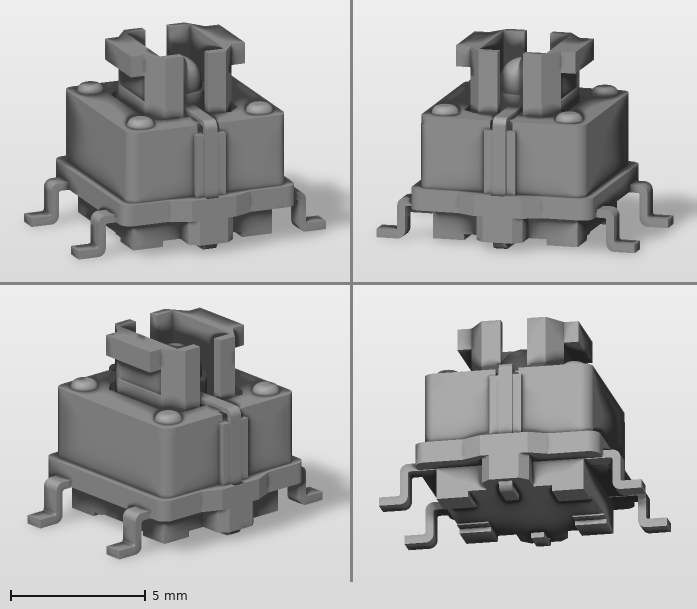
import cadquery as cq

foot_bottom = 0.1
body_bottom = 0.33
plate_bottom = 1.3
plate_top = 2.11
housing_top = 4.85
housing_step = 4.52
pocket_floor = 4.55
collar_bottom, collar_top = 4.65, 5.42
carrier_top = 7.2

plate_x, plate_y, plate_radius = 6.83, 7.04, 0.43
tab_reach = 3.75
tab_half_width = 0.9
flare_half_width = 1.64

body_x, body_y = 5.28, 5.6
tab_chamfer_x, tab_chamfer_y = 0.31, 0.33
foot_inner_x, foot_inner_y = 1.41, 1.6
pad_inner_x, pad_bottom = 0.95, 0.27

housing_size = 6.4
housing_radius = 0.4
index_corner_radius = 0.47
notch_half_width, notch_depth = 0.44, 0.29
rib_reach, rib_half_width = 3.45, 0.6
groove_half_width = 0.27

pocket_half_x, pocket_half_y = 2.09, 1.89
left_cut, right_cut = 0.43, 0.51
front_cut, back_cut = 0.38, 0.52

peg_spacing = 4.8
peg_diameter = 1.02
peg_height, peg_rounding = 0.3, 0.29

collar_diameter, dome_diameter = 2.4, 2.0
dome_centre = 5.62

carrier_half_x = 2.0
carrier_inner_x, carrier_inner_y = 1.64, 1.3
carrier_gap = 0.5
carrier_corner_y = 1.22
carrier_outer_y = 1.76
carrier_face_half = 1.25
ledge_y, ledge_height = 2.31, 0.81
recess_depth, recess_bottom = 0.12, 5.32

strap_half_x, strap_top = 3.48, 5.02
strap_thickness, strap_width = 0.2, 0.5
strap_outer_radius, strap_inner_radius = 0.3, 0.1
strap_hook_end = 2.2
tab_slot_reach = 3.73

lead_x, lead_width = 2.25, 0.73
lead_tip, lead_wall_y = 5.0, 4.2
lead_embed = 0.1
lead_top, lead_thickness, lead_foot_thickness = 1.57, 0.3, 0.33
lead_outer_radius, lead_inner_radius = 0.3, 0.09


def block(x0, x1, y0, y1, z0, z1):
    """Axis-aligned box between two opposite corners."""
    return cq.Workplane("XY").box(x1 - x0, y1 - y0, z1 - z0, centered=False).translate((x0, y0, z0))


def prism(points, z0, z1):
    """Vertical prism on a closed outline in plan."""
    return cq.Workplane("XY").workplane(offset=z0).polyline(points).close().extrude(z1 - z0)


def both_x(shape):
    return shape.union(shape.mirror("YZ"))


def both_y(shape):
    return shape.union(shape.mirror("XZ"))


def make_plate():
    plate = block(-plate_x / 2, plate_x / 2, -plate_y / 2, plate_y / 2, plate_bottom, plate_top)
    plate = plate.edges("|Z").fillet(plate_radius)
    flare = prism(
        [(0, -flare_half_width), (plate_x / 2, -flare_half_width), (tab_reach, -tab_half_width),
         (tab_reach, tab_half_width), (plate_x / 2, flare_half_width), (0, flare_half_width)],
        plate_bottom, plate_top)
    return plate.union(both_x(flare))


def make_lower_body():
    body = block(-body_x / 2, body_x / 2, -body_y / 2, body_y / 2, body_bottom, plate_bottom)
    shoulder_x = tab_reach - tab_chamfer_x
    nose_y = tab_half_width - tab_chamfer_y
    tab = prism(
        [(0, -tab_half_width), (shoulder_x, -tab_half_width), (tab_reach, -nose_y),
         (tab_reach, nose_y), (shoulder_x, tab_half_width), (0, tab_half_width)],
        body_bottom, plate_bottom)
    foot = block(foot_inner_x, body_x / 2, foot_inner_y, body_y / 2, foot_bottom, body_bottom)
    pad = block(pad_inner_x, foot_inner_x, foot_inner_y, body_y / 2, pad_bottom, body_bottom)
    return body.union(both_x(tab)).union(both_y(both_x(foot.union(pad))))


def make_housing():
    half = housing_size / 2
    lower = block(-half, half, -half, half, plate_top, housing_step).edges("|Z").fillet(housing_radius)
    upper = block(-half, half, -half, half, housing_step, housing_top)
    upper = upper.edges("|Z and (not (<X and >Y))").fillet(housing_radius)
    upper = upper.edges("|Z").edges("<X and >Y").fillet(index_corner_radius)

    notch = block(half - notch_depth, half, -notch_half_width, notch_half_width, housing_step, housing_top)
    rib = block(half, rib_reach, groove_half_width, rib_half_width, plate_top, housing_step)
    housing = lower.union(upper).cut(both_x(notch)).union(both_y(both_x(rib)))

    pocket = prism(
        [(-pocket_half_x, -pocket_half_y + front_cut), (-pocket_half_x + left_cut, -pocket_half_y),
         (pocket_half_x - right_cut, -pocket_half_y), (pocket_half_x, -pocket_half_y + front_cut),
         (pocket_half_x, pocket_half_y - back_cut), (pocket_half_x - right_cut, pocket_half_y),
         (-pocket_half_x + left_cut, pocket_half_y), (-pocket_half_x, pocket_half_y - back_cut)],
        pocket_floor, housing_top)
    well = block(-carrier_inner_x, carrier_inner_x, -carrier_inner_y, carrier_inner_y,
                 plate_top, pocket_floor)
    return housing.cut(pocket).cut(well)


def make_pegs():
    return (
        cq.Workplane("XY").workplane(offset=housing_top)
        .rect(peg_spacing, peg_spacing, forConstruction=True).vertices()
        .circle(peg_diameter / 2).extrude(peg_height)
        .faces(">Z").edges().fillet(peg_rounding))


def make_plunger():
    collar = cq.Workplane("XY").workplane(offset=collar_bottom)
    collar = collar.circle(collar_diameter / 2).extrude(collar_top - collar_bottom)
    stem = cq.Workplane("XY").workplane(offset=plate_top)
    stem = stem.circle(dome_diameter / 2).extrude(dome_centre - plate_top)
    dome = cq.Workplane("XY").sphere(dome_diameter / 2).translate((0, 0, dome_centre))
    return collar.union(stem).union(dome)


def make_carrier():
    wall = prism(
        [(-carrier_half_x, carrier_gap), (-carrier_half_x, carrier_corner_y),
         (-carrier_face_half, carrier_outer_y), (carrier_face_half, carrier_outer_y),
         (carrier_half_x, carrier_corner_y), (carrier_half_x, carrier_gap),
         (carrier_inner_x, carrier_gap), (carrier_inner_x, carrier_inner_y),
         (-carrier_inner_x, carrier_inner_y), (-carrier_inner_x, carrier_gap)],
        pocket_floor, carrier_top)
    ledge_bottom = carrier_top - ledge_height
    ledge = block(-carrier_face_half, carrier_face_half, carrier_inner_y, ledge_y, ledge_bottom, carrier_top)
    recess = block(-carrier_face_half, carrier_face_half, carrier_outer_y - recess_depth, carrier_outer_y,
                   recess_bottom, ledge_bottom)
    return both_y(wall.union(ledge).cut(recess))


def make_strap():
    half_y = strap_width / 2
    inner_x = strap_half_x - strap_thickness
    outer = block(-strap_half_x, strap_half_x, -half_y, half_y, 0, strap_top)
    outer = outer.edges("|Y").fillet(strap_outer_radius)
    inner = block(-inner_x, inner_x, -half_y, half_y, strap_thickness, strap_top - strap_thickness)
    inner = inner.edges("|Y").fillet(strap_inner_radius)
    hook_gap = block(-strap_hook_end, strap_hook_end, -half_y, half_y, 0, strap_thickness)
    return outer.cut(inner).cut(hook_gap)


def make_tab_slots():
    """Tapered slots through the tabs, just outside the strap."""
    slot = (
        cq.Workplane("XZ")
        .polyline([(strap_half_x, body_bottom), (strap_half_x, plate_top), (tab_slot_reach, plate_top)])
        .close().extrude(groove_half_width, both=True))
    return both_x(slot)


def make_leads():
    start_y = body_y / 2 - lead_embed
    inner_wall_y = lead_wall_y - lead_thickness
    lower_z = lead_top - lead_thickness
    outline = (
        cq.Workplane("YZ").workplane(offset=lead_x - lead_width / 2)
        .moveTo(start_y, lead_top)
        .lineTo(lead_wall_y - lead_outer_radius, lead_top)
        .radiusArc((lead_wall_y, lead_top - lead_outer_radius), lead_outer_radius)
        .lineTo(lead_wall_y, lead_foot_thickness + lead_inner_radius)
        .radiusArc((lead_wall_y + lead_inner_radius, lead_foot_thickness), -lead_inner_radius)
        .lineTo(lead_tip, lead_foot_thickness)
        .lineTo(lead_tip, 0)
        .lineTo(inner_wall_y + lead_outer_radius, 0)
        .radiusArc((inner_wall_y, lead_outer_radius), lead_outer_radius)
        .lineTo(inner_wall_y, lower_z - lead_inner_radius)
        .radiusArc((inner_wall_y - lead_inner_radius, lower_z), -lead_inner_radius)
        .lineTo(start_y, lower_z)
        .close())
    return both_y(both_x(outline.extrude(lead_width)))


result = make_plate().union(make_lower_body()).cut(make_tab_slots())
for feature in (make_housing(), make_pegs(), make_plunger(), make_carrier(), make_strap(), make_leads()):
    result = result.union(feature)